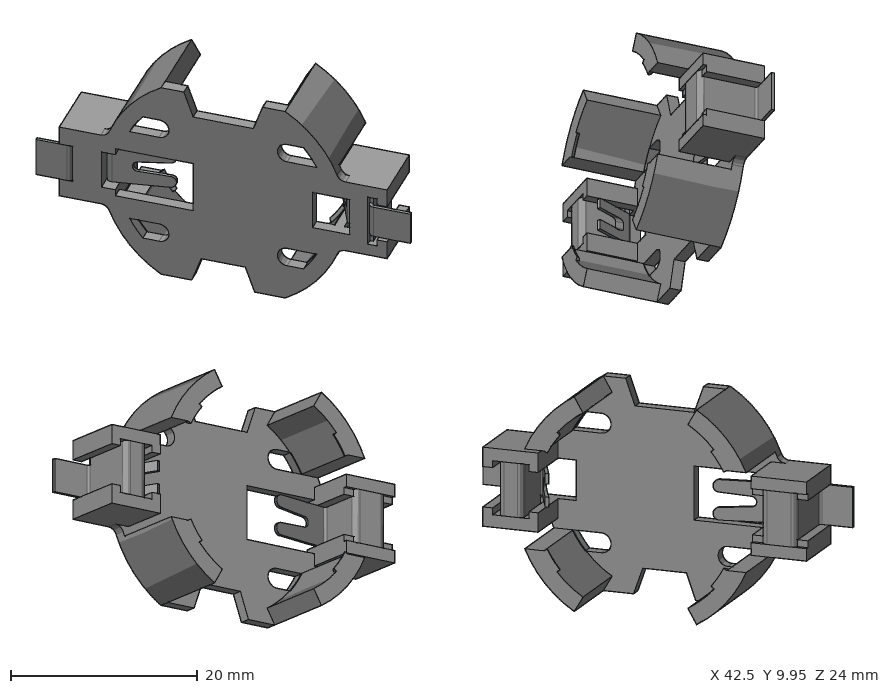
import cadquery as cq
import math


PLATE_THICKNESS = 1.3
DISC_RADIUS = 13.9
DISC_HALF_HEIGHT = 12.0
JUNCTION_RADIUS = 1.0
NOTCH_FLOOR = 9.0
TOP_NOTCH_FLOOR_HALF = 3.4
BOTTOM_NOTCH_FLOOR_HALF = 2.5
NOTCH_FLARE = 1.05

ARM_HALF_LENGTH = 18.6
ARM_HALF_HEIGHT = 4.4
HOUSING_DEPTH = 7.22
HOUSING_INNER = 12.25

CLIP_DEPTH = 9.95
CLIP_INNER_RADIUS = 11.9
CLIP_LOW = 5.55
BEAD_RADIUS = 0.42

RELIEF_OUTER_RADIUS = 12.0
RELIEF_HEIGHT = 2.2
RELIEF_ROUND_X = 7.25
RELIEF_Z = CLIP_LOW + RELIEF_HEIGHT / 2

STRIP = 0.4
BEND = 0.25 + STRIP / 2
WIDE_HALF = 3.0

LEFT_HALF = 2.25
LEFT_WALL_OUTER = -17.08
LEFT_WALL_INNER = -13.8
LEFT_FOOT_END = -21.25
LEFT_TIP_X = -6.15
LEFT_FINGER_ROOT_Y = 1.45
LEFT_FINGER_TIP_Y = 2.68
LEFT_WIDE_FROM = 6.8
FORK_ROOT_X = -10.87
FORK_ROOT_HALF = 0.6
FORK_MOUTH_HALF = 0.85

RIGHT_HALF = 1.85
RIGHT_WALL_OUTER = 16.4
RIGHT_WALL_INNER = 14.35
RIGHT_FOOT_END = 21.25
RIGHT_BEND = 0.1 + STRIP / 2
RIGHT_BEND_BOTTOM_Y = 1.5
RIGHT_FINGER_REACH = 2.5
RIGHT_FINGER_SLOPE = 65.0
RIGHT_OUTER_WIDE_FROM = 0.72
RIGHT_INNER_WIDE_FROM = 2.0
FINGER_SLOT_HALF = 0.72
FINGER_SLOT_END_X = 13.1
FINGER_SLOT_CORNER = 0.35

LEFT_WINDOW_INNER = -3.4
RIGHT_WINDOW_INNER = 10.15
PASSAGE_HALF = 2.25
RIGHT_SLOT_WIDTH = 1.05
RECESS_FLOOR = HOUSING_DEPTH - 0.42


def block(x0, x1, y0, y1, half_z):
    """Box between two X and two Y positions, centred on Z = 0."""
    return cq.Workplane("XY").box(x1 - x0, y1 - y0, 2 * half_z).translate(
        ((x0 + x1) / 2, (y0 + y1) / 2, 0)
    )


def on_circle(radius, z):
    """Point at height z on the +X half of a circle about the centre."""
    return (math.sqrt(radius**2 - z**2), z)


def mid_arc(radius, start, end):
    """Middle point of the arc about the centre from start to end."""
    angle = (math.atan2(start[1], start[0]) + math.atan2(end[1], end[0])) / 2
    return (radius * math.cos(angle), radius * math.sin(angle))


def four_fold(solid):
    """The solid together with its mirror images in X and in Z."""
    pair = solid.union(solid.mirror("YZ"))
    return pair.union(pair.mirror("XY"))


def make_plate():
    flat_half, flat_z = on_circle(DISC_RADIUS, z=DISC_HALF_HEIGHT)
    disc = (
        cq.Workplane("XZ")
        .moveTo(-flat_half, flat_z)
        .lineTo(flat_half, flat_z)
        .threePointArc((DISC_RADIUS, 0), (flat_half, -flat_z))
        .lineTo(-flat_half, -flat_z)
        .threePointArc((-DISC_RADIUS, 0), (-flat_half, flat_z))
        .close()
        .extrude(-PLATE_THICKNESS)
    )
    plate = disc.union(block(-ARM_HALF_LENGTH, ARM_HALF_LENGTH, 0, PLATE_THICKNESS, ARM_HALF_HEIGHT))
    junction_x = on_circle(DISC_RADIUS, z=ARM_HALF_HEIGHT)[0]
    for x in (-junction_x, junction_x):
        for z in (-ARM_HALF_HEIGHT, ARM_HALF_HEIGHT):
            corner = cq.NearestToPointSelector((x, PLATE_THICKNESS / 2, z))
            plate = plate.edges("|Y").edges(corner).fillet(JUNCTION_RADIUS)
    return plate


def make_notch(floor_half, side):
    """Flared notch in the upper (side = 1) or lower (side = -1) edge of the disc."""
    mouth_half = floor_half + NOTCH_FLARE
    floor_z = side * NOTCH_FLOOR
    mouth_z = side * DISC_HALF_HEIGHT
    outline = [(-floor_half, floor_z), (floor_half, floor_z), (mouth_half, mouth_z), (-mouth_half, mouth_z)]
    return cq.Workplane("XZ").polyline(outline).close().extrude(-PLATE_THICKNESS)


def make_clip():
    """Curved wall that holds the cell, with its snap bead, in the +X +Z quadrant."""
    outer_tip = on_circle(DISC_RADIUS, z=DISC_HALF_HEIGHT)
    outer_low = on_circle(DISC_RADIUS, z=CLIP_LOW)
    inner_low = on_circle(CLIP_INNER_RADIUS, z=CLIP_LOW)
    inner_tip = tuple(value * CLIP_INNER_RADIUS / DISC_RADIUS for value in outer_tip)
    wall = (
        cq.Workplane("XZ")
        .moveTo(*outer_tip)
        .threePointArc(mid_arc(DISC_RADIUS, outer_tip, outer_low), outer_low)
        .lineTo(*inner_low)
        .threePointArc(mid_arc(CLIP_INNER_RADIUS, inner_low, inner_tip), inner_tip)
        .close()
        .extrude(PLATE_THICKNESS - CLIP_DEPTH)
        .translate((0, PLATE_THICKNESS, 0))
    )
    start_angle = math.degrees(math.asin(CLIP_LOW / CLIP_INNER_RADIUS))
    end_angle = math.degrees(math.asin((CLIP_LOW + RELIEF_HEIGHT) / CLIP_INNER_RADIUS))
    bulge = BEAD_RADIUS * math.sqrt(0.5)
    bead = (
        cq.Workplane("XY")
        .moveTo(CLIP_INNER_RADIUS, CLIP_DEPTH)
        .lineTo(CLIP_INNER_RADIUS - BEAD_RADIUS, CLIP_DEPTH)
        .threePointArc(
            (CLIP_INNER_RADIUS - bulge, CLIP_DEPTH - bulge), (CLIP_INNER_RADIUS, CLIP_DEPTH - BEAD_RADIUS)
        )
        .close()
        .revolve(end_angle - start_angle, (0, 0, 0), (0, -1, 0))
        .rotate((0, 0, 0), (0, -1, 0), start_angle)
    )
    return wall.union(bead)


def make_relief_hole():
    """Hole with one rounded end, bounded outwards by an arc about the centre of the disc."""
    round_end = cq.Workplane("XZ").center(RELIEF_ROUND_X, RELIEF_Z).circle(RELIEF_HEIGHT / 2)
    straight = block(RELIEF_ROUND_X, RELIEF_OUTER_RADIUS, 0, PLATE_THICKNESS, RELIEF_HEIGHT / 2)
    hole = round_end.extrude(-PLATE_THICKNESS).union(straight.translate((0, 0, RELIEF_Z)))
    return hole.intersect(cq.Workplane("XZ").circle(RELIEF_OUTER_RADIUS).extrude(-PLATE_THICKNESS))


def left_openings():
    """Window for the forked finger, slot for the outer leg and recess for the bridge."""
    window = block(-HOUSING_INNER, LEFT_WINDOW_INNER, 0, PLATE_THICKNESS, WIDE_HALF)
    passage = block(LEFT_WALL_INNER, -HOUSING_INNER, 0, HOUSING_DEPTH, PASSAGE_HALF)
    slot = block(-ARM_HALF_LENGTH, LEFT_WALL_OUTER, 0, HOUSING_DEPTH, PASSAGE_HALF)
    recess = block(-ARM_HALF_LENGTH, -HOUSING_INNER, RECESS_FLOOR, HOUSING_DEPTH, WIDE_HALF)
    return window.union(passage).union(slot).union(recess)


def right_openings():
    """Window for the short finger, two wide slots for the legs with their mouths, recess for the bridge."""
    inner_slot_end = RIGHT_WALL_INNER - RIGHT_SLOT_WIDTH
    outer_slot_end = RIGHT_WALL_OUTER + RIGHT_SLOT_WIDTH
    window = block(RIGHT_WINDOW_INNER, RIGHT_WALL_INNER, 0, PLATE_THICKNESS, PASSAGE_HALF)
    inner_mouth = block(HOUSING_INNER, inner_slot_end, 0, HOUSING_DEPTH, PASSAGE_HALF)
    inner_slot = block(inner_slot_end, RIGHT_WALL_INNER, PLATE_THICKNESS, HOUSING_DEPTH, WIDE_HALF)
    outer_slot = block(RIGHT_WALL_OUTER, outer_slot_end, 0, HOUSING_DEPTH, WIDE_HALF)
    outer_mouth = block(outer_slot_end, ARM_HALF_LENGTH, 0, HOUSING_DEPTH, PASSAGE_HALF)
    recess = block(RIGHT_WALL_INNER, RIGHT_WALL_OUTER, RECESS_FLOOR, HOUSING_DEPTH, WIDE_HALF)
    openings = window.union(inner_mouth).union(inner_slot)
    return openings.union(outer_slot).union(outer_mouth).union(recess)


def make_body(contacts):
    housing = block(HOUSING_INNER, ARM_HALF_LENGTH, 0, HOUSING_DEPTH, ARM_HALF_HEIGHT)
    body = make_plate().union(housing).union(housing.mirror("YZ")).union(four_fold(make_clip()))
    body = body.cut(make_notch(TOP_NOTCH_FLOOR_HALF, 1)).cut(make_notch(BOTTOM_NOTCH_FLOOR_HALF, -1))
    body = body.cut(four_fold(make_relief_hole()))
    body = body.cut(left_openings()).cut(right_openings())
    for contact in contacts:
        body = body.cut(contact)
    return body


def strip_profile(path, bends):
    """Closed outline of a strip that follows a centre line, with one bend radius per corner."""
    directions = []
    for (x0, y0), (x1, y1) in zip(path, path[1:]):
        length = math.hypot(x1 - x0, y1 - y0)
        directions.append(((x1 - x0) / length, (y1 - y0) / length))
    normals = [cq.Vector(-dy, dx) for dx, dy in directions]
    points = [cq.Vector(x, y) for x, y in path]

    def corner_arc(index, offset):
        """Start, middle and end of the bend at a corner, on the side given by the offset."""
        before, after = normals[index - 1], normals[index]
        bisector = (before + after).normalized()
        turn = math.copysign(1, before.cross(after).z)
        centre = points[index] + bisector * (turn * bends[index - 1] / bisector.dot(before))
        reach = turn * bends[index - 1] - offset
        return [centre - normal * reach for normal in (before, bisector, after)]

    half = STRIP / 2
    corners = range(1, len(path) - 1)
    outline = cq.Workplane("XY").moveTo(*(points[0] + normals[0] * half).toTuple()[:2])
    for index in corners:
        start, middle, end = corner_arc(index, half)
        outline = outline.lineTo(start.x, start.y).threePointArc((middle.x, middle.y), (end.x, end.y))
    for side in (half, -half):
        tip = points[-1] + normals[-1] * side
        outline = outline.lineTo(tip.x, tip.y)
    for index in reversed(corners):
        start, middle, end = corner_arc(index, -half)
        outline = outline.lineTo(end.x, end.y).threePointArc((middle.x, middle.y), (start.x, start.y))
    last = points[0] - normals[0] * half
    return outline.lineTo(last.x, last.y).close()


def bent_strip(path, bends, half_width):
    return strip_profile(path, bends).extrude(half_width, both=True)


def make_left_contact():
    """Contact with a long forked finger that slopes away from the plate."""
    outer_leg = LEFT_WALL_OUTER - STRIP / 2
    inner_leg = LEFT_WALL_INNER + STRIP / 2
    bridge_y = HOUSING_DEPTH - STRIP / 2
    path = [
        (LEFT_FOOT_END, STRIP / 2),
        (outer_leg, STRIP / 2),
        (outer_leg, bridge_y),
        (inner_leg, bridge_y),
        (inner_leg, LEFT_FINGER_ROOT_Y),
        (LEFT_TIP_X, LEFT_FINGER_TIP_Y),
    ]
    bends = [BEND] * 4
    bridge_zone = block(LEFT_FOOT_END, LEFT_TIP_X, LEFT_WIDE_FROM, HOUSING_DEPTH, WIDE_HALF)
    bridge = bent_strip(path, bends, WIDE_HALF).intersect(bridge_zone)
    return bent_strip(path, bends, LEFT_HALF).union(bridge).cut(make_fork_cutter())


def make_fork_cutter():
    """Cutter for the tapered gap between the prongs, which also rounds the prong tips."""
    tip_radius = (LEFT_HALF - FORK_MOUTH_HALF) / 2
    mouth_x = LEFT_TIP_X - tip_radius
    root_x = FORK_ROOT_X + FORK_ROOT_HALF
    prong_z = LEFT_HALF - tip_radius
    outline = (
        cq.Workplane("XZ")
        .moveTo(root_x, -FORK_ROOT_HALF)
        .threePointArc((FORK_ROOT_X, 0), (root_x, FORK_ROOT_HALF))
        .lineTo(mouth_x, FORK_MOUTH_HALF)
        .threePointArc((LEFT_TIP_X, prong_z), (mouth_x, LEFT_HALF))
        .lineTo(0, LEFT_HALF)
        .lineTo(0, -LEFT_HALF)
        .lineTo(mouth_x, -LEFT_HALF)
        .threePointArc((LEFT_TIP_X, -prong_z), (mouth_x, -FORK_MOUTH_HALF))
        .close()
    )
    return outline.extrude(-HOUSING_DEPTH)


def make_right_contact():
    """Contact with a short slotted finger that folds back steeply from the inner leg."""
    outer_leg = RIGHT_WALL_OUTER + STRIP / 2
    inner_leg = RIGHT_WALL_INNER - STRIP / 2
    bridge_y = HOUSING_DEPTH - STRIP / 2
    slope = math.radians(RIGHT_FINGER_SLOPE)
    bend_centre_y = RIGHT_BEND_BOTTOM_Y + STRIP / 2 + RIGHT_BEND
    root_y = bend_centre_y - RIGHT_BEND * math.tan(math.pi / 4 + slope / 2)
    path = [
        (RIGHT_FOOT_END, STRIP / 2),
        (outer_leg, STRIP / 2),
        (outer_leg, bridge_y),
        (inner_leg, bridge_y),
        (inner_leg, root_y),
        (inner_leg - RIGHT_FINGER_REACH, root_y + RIGHT_FINGER_REACH * math.tan(slope)),
    ]
    bends = [BEND] * 3 + [RIGHT_BEND]
    middle_x = (outer_leg + inner_leg) / 2
    inner_face = RIGHT_WALL_INNER - STRIP
    outer_face = RIGHT_WALL_OUTER + STRIP
    wide_zone = block(inner_face, middle_x, RIGHT_INNER_WIDE_FROM, HOUSING_DEPTH, WIDE_HALF).union(
        block(middle_x, outer_face, RIGHT_OUTER_WIDE_FROM, HOUSING_DEPTH, WIDE_HALF)
    )
    wide_part = bent_strip(path, bends, WIDE_HALF).intersect(wide_zone)
    finger_end = inner_leg - RIGHT_FINGER_REACH - STRIP
    slot = block(finger_end, FINGER_SLOT_END_X, 0, HOUSING_DEPTH - 2 * STRIP, FINGER_SLOT_HALF)
    slot = slot.edges("|Y and >X").fillet(FINGER_SLOT_CORNER)
    return bent_strip(path, bends, RIGHT_HALF).union(wide_part).cut(slot)


left_contact = make_left_contact()
right_contact = make_right_contact()
body = make_body([left_contact, right_contact])

result = cq.Compound.makeCompound([part.solids().val() for part in (body, left_contact, right_contact)])